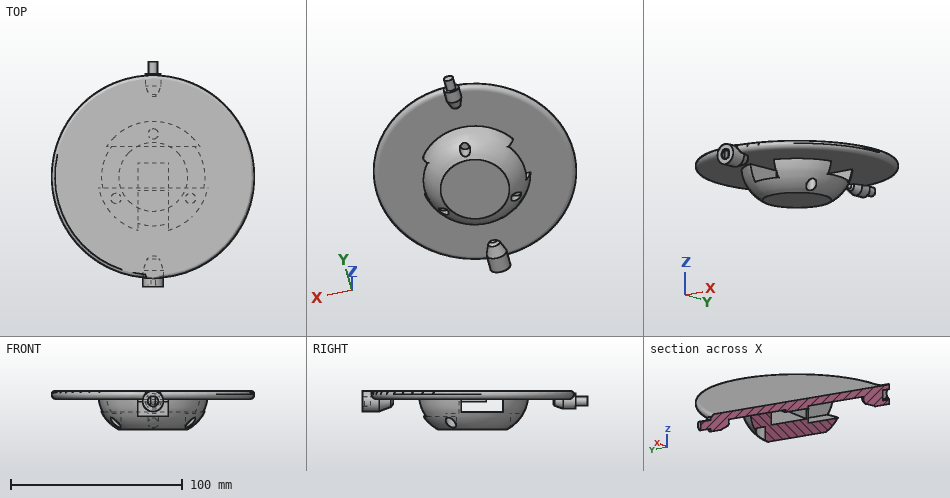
import cadquery as cq
import math


overall_length = 131

disc_radius = 118.0 / 2
disc_thickness = 5.0
top_round = 2.0
bottom_round = disc_thickness - top_round

sleeve_radius = 12.0 / 2
axis_z = -sleeve_radius
sleeve_end = 64.0
sleeve_shoulder = 54.4
sleeve_cone_end = 47.7
sleeve_cone_radius = 3.5
sleeve_tip_end = 46.1
sleeve_tip_radius = 3.5 / 2

recess_radius = 6.0 / 2
recess_depth = 1.0
slot_width = 2.9
slot_depth = 4.6

pin_radius = 5.5 / 2
pin_end = overall_length - sleeve_end
collar_radius = 9.0 / 2
collar_end = 60.0
collar_shoulder = 52.9
collar_cone_end = 47.8
collar_cone_radius = 2.8
collar_tip_end = 46.9
collar_tip_radius = 3.0 / 2

pad_width = 18.0
pad_length = 16.0
pad_height = 1.5

dome_top_radius = 32.4
dome_middle_radius = 29.1
dome_middle_z = -14.0
dome_base_radius = 20.0
dome_bottom_z = -22.5

window_length = 24.1
window_center_y = 5.6
window_floor_z = -12.3
pocket_floor_z = -14.9

bore_count = 3
bore_radius = 6.0 / 2
bore_circle_radius = 25.0
bore_roof_z = -13.1


def make_rounded_disc():
    """Disc whose rim has a small round above and a larger one below."""
    diagonal = math.sqrt(0.5)
    top_center_r = disc_radius - top_round
    bottom_center_r = disc_radius - bottom_round
    profile = (
        cq.Workplane("XZ")
        .lineTo(top_center_r, 0)
        .threePointArc(
            (top_center_r + top_round * diagonal, -top_round + top_round * diagonal),
            (disc_radius, -top_round),
        )
        .threePointArc(
            (bottom_center_r + bottom_round * diagonal, -top_round - bottom_round * diagonal),
            (bottom_center_r, -disc_thickness),
        )
        .lineTo(0, -disc_thickness)
        .close()
    )
    return profile.revolve()


def make_trunnion(outline, direction):
    """Turn (radius, distance) points about the trunnion axis; direction is +1 for +Y, -1 for -Y."""
    points = [(radius, direction * distance) for radius, distance in outline]
    turned = cq.Workplane("XY").polyline(points).close().revolve(360, (0, 0), (0, 1))
    return turned.translate((0, 0, axis_z))


def make_sleeve():
    return make_trunnion(
        [
            (0, sleeve_end),
            (sleeve_radius, sleeve_end),
            (sleeve_radius, sleeve_shoulder),
            (sleeve_cone_radius, sleeve_cone_end),
            (sleeve_tip_radius, sleeve_tip_end),
            (0, sleeve_tip_end),
        ],
        -1,
    )


def make_pin():
    return make_trunnion(
        [
            (0, pin_end),
            (pin_radius, pin_end),
            (pin_radius, collar_end),
            (collar_radius, collar_end),
            (collar_radius, collar_shoulder),
            (collar_cone_radius, collar_cone_end),
            (collar_tip_radius, collar_tip_end),
            (0, collar_tip_end),
        ],
        1,
    )


def make_rim_bridge():
    """Fills the rim's top round beside the sleeve, leaving a flat V that points at the sleeve."""
    half_width = math.sqrt(sleeve_radius**2 - (sleeve_radius - top_round) ** 2)
    outer_y = -disc_radius
    inner_y = -math.sqrt((disc_radius - top_round) ** 2 - half_width**2)
    bridge = cq.Workplane("XY").box(
        2 * half_width, inner_y - outer_y, top_round, centered=(True, False, False)
    ).translate((0, outer_y, -top_round))
    half_angle = math.asin(half_width / sleeve_radius) / 2
    for side in (-1, 1):
        arc_middle = (
            side * sleeve_radius * math.sin(half_angle),
            axis_z + sleeve_radius * math.cos(half_angle),
        )
        above_sleeve = (
            cq.Workplane("XZ", origin=(0, outer_y, 0))
            .threePointArc(arc_middle, (side * half_width, -top_round))
            .lineTo(side * half_width, 0)
            .close()
        )
        along_v = cq.Vector(side * half_width, inner_y - outer_y, 0)
        bridge = bridge.cut(cq.Workplane(cq.Solid.extrudeLinear(above_sleeve.val(), [], along_v)))
    return bridge


def make_sleeve_socket():
    """Shallow round recess with a deeper straight slot across it."""
    mouth = cq.Workplane("XZ", origin=(0, -sleeve_end, axis_z))
    recess = mouth.circle(recess_radius).extrude(-recess_depth)
    round_bore = mouth.circle(recess_radius).extrude(-slot_depth)
    slot_bar = mouth.rect(slot_width, 2 * recess_radius).extrude(-slot_depth)
    return recess.union(round_bore.intersect(slot_bar))


def make_pad():
    pad = cq.Workplane("XY").box(pad_width, pad_length, pad_height, centered=(True, True, False))
    return pad.translate((0, 0, -disc_thickness - pad_height))


def make_disc_body():
    body = make_rounded_disc().union(make_rim_bridge())
    body = body.union(make_sleeve()).union(make_pin()).union(make_pad())
    return body.cut(make_sleeve_socket())


def make_dome_blank():
    profile = (
        cq.Workplane("XZ")
        .moveTo(0, -disc_thickness)
        .lineTo(dome_top_radius, -disc_thickness)
        .threePointArc((dome_middle_radius, dome_middle_z), (dome_base_radius, dome_bottom_z))
        .lineTo(0, dome_bottom_z)
        .close()
    )
    return profile.revolve()


def make_side_window():
    """Rectangular passage right through the dome along X, open to the disc above."""
    height = -disc_thickness - window_floor_z
    window = cq.Workplane("XY").box(
        2 * dome_top_radius, window_length, height, centered=(True, True, False)
    )
    return window.translate((0, window_center_y, window_floor_z))


def make_front_pocket():
    """Recess from the -Y side whose back wall is flush with the end of the pad."""
    height = -disc_thickness - pocket_floor_z
    depth = dome_top_radius - pad_length / 2
    pocket = cq.Workplane("XY").box(pad_width, depth, height, centered=(True, False, False))
    return pocket.translate((0, -dome_top_radius, pocket_floor_z))


def make_bores():
    """Vertical blind bores that enter through the sloping underside of the dome."""
    return (
        cq.Workplane("XY", origin=(0, 0, dome_bottom_z))
        .polarArray(bore_circle_radius, 90, 360, bore_count)
        .circle(bore_radius)
        .extrude(bore_roof_z - dome_bottom_z)
    )


def make_dome():
    dome = make_dome_blank().cut(make_side_window()).cut(make_front_pocket())
    return dome.cut(make_bores()).cut(make_pad())


disc_body = make_disc_body()
dome = make_dome()

result = cq.Compound.makeCompound([disc_body.solids().val(), dome.solids().val()])